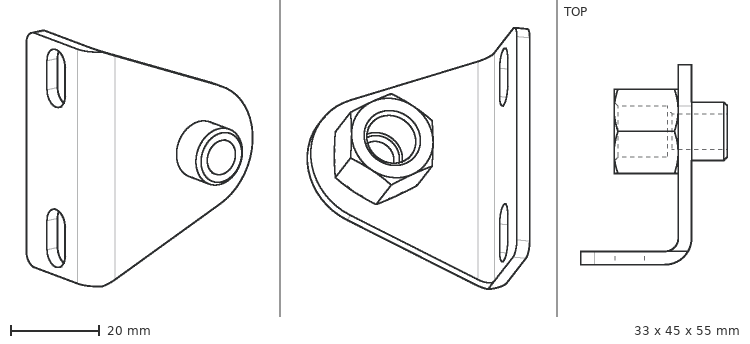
import cadquery as cq
import math

height = 55.0
base_width = 24.95
upright_length = 45.0
thickness = 3.0
inner_bend_radius = 2.95
outer_bend_radius = inner_bend_radius + thickness
corner_radius = 3.0

slot_width = 6.65
slot_length = 13.5
slot_x = 11.0
slot_spacing = 37.5

nose_radius = 15.0
axis_y = upright_length - nose_radius
hex_start_x = 7.55
hex_flats = 19.05
hex_chamfer_angle = 30.0
stud_diameter = 13.15
stud_end_x = 33.0
stud_chamfer = 0.8

bore_diameter = 8.0
seat_diameter = 10.0
socket_diameter = 11.45
socket_mouth_diameter = 13.15
socket_depth = 12.0

upright_inner_x = base_width - thickness


def make_bent_sheet():
    """L profile with a rounded bend, extruded over the full height."""
    profile = (
        cq.Workplane("XY", origin=(0, 0, -height / 2))
        .polyline([
            (0, 0),
            (base_width, 0),
            (base_width, upright_length),
            (upright_inner_x, upright_length),
            (upright_inner_x, thickness),
            (0, thickness),
        ])
        .close()
        .extrude(height)
    )
    sheet = profile.edges(cq.selectors.NearestToPointSelector((base_width, 0, 0))).fillet(outer_bend_radius)
    inner_corner = cq.selectors.NearestToPointSelector((upright_inner_x, thickness, 0))
    sheet = sheet.edges(inner_corner).fillet(inner_bend_radius)
    return sheet.edges("|Y and <X").fillet(corner_radius)


def make_side_outline():
    """Full-height base strip, then sides running tangent into the round nose."""
    half_height = height / 2
    rise = axis_y - thickness
    taper_angle = math.atan2(half_height, rise) - math.asin(nose_radius / math.hypot(rise, half_height))
    tangent_y = axis_y + nose_radius * math.sin(taper_angle)
    tangent_z = nose_radius * math.cos(taper_angle)
    return (
        cq.Workplane("YZ")
        .moveTo(0, -half_height)
        .lineTo(thickness, -half_height)
        .lineTo(tangent_y, -tangent_z)
        .threePointArc((upright_length, 0), (tangent_y, tangent_z))
        .lineTo(thickness, half_height)
        .lineTo(0, half_height)
        .close()
        .extrude(base_width)
    )


def make_slots():
    return (
        cq.Workplane("XZ", origin=(slot_x, 0, 0))
        .pushPoints([(0, -slot_spacing / 2), (0, slot_spacing / 2)])
        .slot2D(slot_length, slot_width, 90)
        .extrude(-thickness)
    )


def revolve_on_axis(points):
    """Turn an (x, radius) outline about the fitting axis."""
    return (
        cq.Workplane("XY", origin=(0, axis_y, 0))
        .polyline(points)
        .close()
        .revolve(360, (0, 0, 0), (1, 0, 0))
    )


def make_hexagon():
    """Hexagon with corners toward +Z and -Z, turned to a cone at both ends."""
    corner_distance = hex_flats / math.sqrt(3)
    corner_angles = [math.radians(30 + 60 * i) for i in range(6)]
    corners = [
        (axis_y + corner_distance * math.cos(a), corner_distance * math.sin(a)) for a in corner_angles
    ]
    prism = (
        cq.Workplane("YZ", origin=(hex_start_x, 0, 0))
        .polyline(corners)
        .close()
        .extrude(upright_inner_x - hex_start_x)
    )
    face_radius = hex_flats / 2
    cone_length = (corner_distance - face_radius) * math.tan(math.radians(hex_chamfer_angle))
    turned_envelope = revolve_on_axis([
        (hex_start_x, 0),
        (hex_start_x, face_radius),
        (hex_start_x + cone_length, corner_distance),
        (upright_inner_x - cone_length, corner_distance),
        (upright_inner_x, face_radius),
        (upright_inner_x, 0),
    ])
    return prism.intersect(turned_envelope)


def make_stud():
    stud_radius = stud_diameter / 2
    return revolve_on_axis([
        (upright_inner_x, 0),
        (upright_inner_x, stud_radius),
        (stud_end_x - stud_chamfer, stud_radius),
        (stud_end_x, stud_radius - stud_chamfer),
        (stud_end_x, 0),
    ])


def make_bore():
    """Chamfered socket with a flat floor and a 45 degree seat into the through bore."""
    mouth_chamfer = (socket_mouth_diameter - socket_diameter) / 2
    seat_length = (seat_diameter - bore_diameter) / 2
    floor_x = hex_start_x + socket_depth
    return revolve_on_axis([
        (hex_start_x, 0),
        (hex_start_x, socket_mouth_diameter / 2),
        (hex_start_x + mouth_chamfer, socket_diameter / 2),
        (floor_x, socket_diameter / 2),
        (floor_x, seat_diameter / 2),
        (floor_x + seat_length, bore_diameter / 2),
        (stud_end_x, bore_diameter / 2),
        (stud_end_x, 0),
    ])


bracket = make_bent_sheet().intersect(make_side_outline()).cut(make_slots())
result = bracket.union(make_hexagon()).union(make_stud()).cut(make_bore())